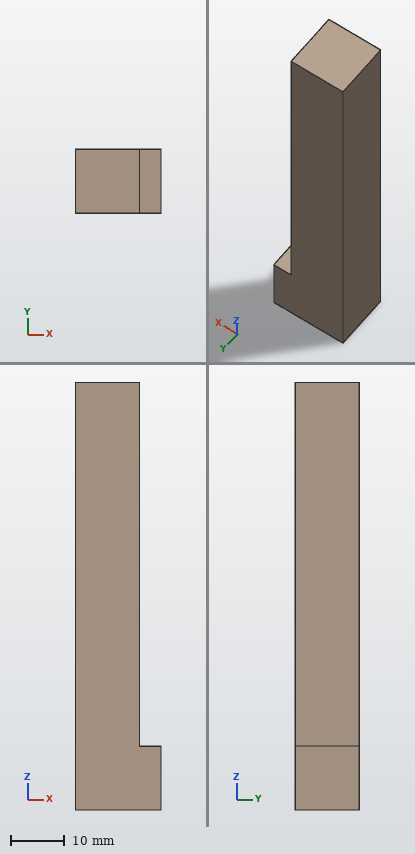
import cadquery as cq

height = 80.0
depth = 12.0

column_width = 12.0
foot_projection = 4.0
foot_height = 12.0

column = cq.Workplane("XY").box(column_width, depth, height, centered=False)
foot = cq.Workplane("XY").box(column_width + foot_projection, depth, foot_height, centered=False)

result = column.union(foot).clean()